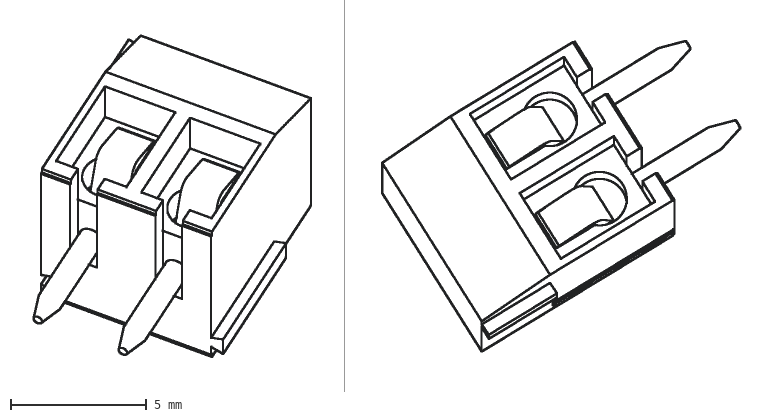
import cadquery as cq
import math


overall_width = 7.98
overall_length = 12.19

body_size = 7.0
body_depth = 8.36
body_half = body_size / 2
slope_length = 2.96
slope_drop = 1.0
lip_height = 0.2
lip_depth = 0.07

pole_pitch = 3.5
pole_centres = (-pole_pitch / 2, pole_pitch / 2)

pocket_width = 2.89
pocket_length = 4.08
pocket_depth = 1.71
front_wall = 0.66
pocket_floor = body_size - pocket_depth
slot_width = 1.1
slot_bottom = 2.72

well_diameter = 2.01
well_centre_y = 2.17
well_depth = 1.38
well_bottom = pocket_floor - well_depth

clamp_width = 1.5
clamp_back_y = 4.5
clamp_bend_radius = 0.46
back_bend_facets = 2
front_bend_facets = 5
clamp_back_angle = math.radians(51)
clamp_ramp_angle = math.radians(13.5)
clamp_plunge_angle = math.radians(-71)
clamp_ramp_run = 1.16

pin_diameter = 0.94
pin_tip_diameter = 0.35
pin_length = overall_length - body_depth
pin_tip_length = 1.0
pin_z = 3.41

rail_height = (overall_width - body_size) / 2
rail_neck = 0.51
rail_head = 0.82
upper_rail_z = 5.13
lower_rail_z = 0.89
lower_rail_length = 5.28
groove_depth = 0.5
groove_end_depth = 0.46
groove_end_length = 0.15


def box(width, y_start, y_end, z_start, z_end, x_centre=0):
    """Box centred on x_centre that spans the given Y and Z ranges."""
    length = y_end - y_start
    height = z_end - z_start
    solid = cq.Workplane("XY").box(width, length, height, centered=(True, False, False))
    return solid.translate((x_centre, y_start, z_start))


def dovetail(wall_x, direction, height, z_centre, y_start, y_end):
    """Dovetail bar that widens from a side wall along direction (+1 or -1 in X)."""
    head_x = wall_x + direction * height
    outline = [
        (wall_x, z_centre - rail_neck / 2),
        (head_x, z_centre - rail_head / 2),
        (head_x, z_centre + rail_head / 2),
        (wall_x, z_centre + rail_neck / 2),
    ]
    plane = cq.Workplane("XZ", origin=(0, y_start, 0))
    return plane.polyline(outline).close().extrude(y_start - y_end)


def housing():
    """Housing block with its sloped back and the steps on its front face."""
    outline = [
        (lip_depth, 0),
        (body_depth, 0),
        (body_depth, body_size - slope_drop),
        (body_depth - slope_length, body_size),
        (lip_depth, body_size),
        (lip_depth, body_size - lip_height),
        (0, body_size - lip_height),
        (0, lip_height),
        (lip_depth, lip_height),
    ]
    plane = cq.Workplane("YZ", origin=(-body_half, 0, 0))
    return plane.polyline(outline).close().extrude(body_size)


def pole_cavity(x):
    """Pocket, front slot and round well of one pole."""
    pocket_back = front_wall + pocket_length
    pocket = box(pocket_width, front_wall, pocket_back, pocket_floor, body_size, x)
    slot = box(slot_width, 0, front_wall, slot_bottom, body_size, x)
    well = cq.Workplane("XY", origin=(x, well_centre_y, well_bottom))
    well = well.circle(well_diameter / 2).extrude(well_depth)
    return pocket.union(slot).union(well)


def bend(start, start_angle, end_angle, facets):
    """End points of the equal flat facets of a convex bend running toward -Y."""
    points = []
    for i in range(1, facets + 1):
        angle = start_angle + (end_angle - start_angle) * i / facets
        run = clamp_bend_radius * (math.sin(start_angle) - math.sin(angle))
        rise = clamp_bend_radius * (math.cos(angle) - math.cos(start_angle))
        points.append((start[0] - run, start[1] + rise))
    return points


def clamp(x):
    """Clamp tongue, solid down to the bottom of the well."""
    back = (clamp_back_y, pocket_floor)
    back_bend = bend(back, clamp_back_angle, clamp_ramp_angle, back_bend_facets)
    ramp_start_y, ramp_start_z = back_bend[-1]
    ramp_rise = clamp_ramp_run * math.tan(clamp_ramp_angle)
    ramp_end = (ramp_start_y - clamp_ramp_run, ramp_start_z + ramp_rise)
    front_bend = bend(ramp_end, clamp_ramp_angle, clamp_plunge_angle, front_bend_facets)
    plunge_start_y, plunge_start_z = front_bend[-1]
    plunge_run = (plunge_start_z - well_bottom) / math.tan(-clamp_plunge_angle)
    plunge_end = (plunge_start_y - plunge_run, well_bottom)
    profile = [back, *back_bend, ramp_end, *front_bend, plunge_end, (clamp_back_y, well_bottom)]
    plane = cq.Workplane("YZ", origin=(x - clamp_width / 2, 0, 0))
    return plane.polyline(profile).close().extrude(clamp_width)


def pin(x):
    """Round pin with a tapered tip, starting at the back of the front slot."""
    outline = [
        (0, front_wall),
        (pin_diameter / 2, front_wall),
        (pin_diameter / 2, pin_tip_length - pin_length),
        (pin_tip_diameter / 2, -pin_length),
        (0, -pin_length),
    ]
    turned = cq.Workplane("XY").polyline(outline).close().revolve(360, (0, 0, 0), (0, 1, 0))
    return turned.translate((x, 0, pin_z))


def side_groove():
    """Dovetail groove, open at the front, in the -X side of the housing."""
    end_start = lower_rail_length - groove_end_length
    main = dovetail(-body_half, 1, groove_depth, lower_rail_z, 0, end_start)
    end = dovetail(-body_half, 1, groove_end_depth, lower_rail_z, end_start, lower_rail_length)
    return main.union(end)


upper_rail_start = body_depth - slope_length
upper_rail = dovetail(-body_half, -1, rail_height, upper_rail_z, upper_rail_start, body_depth)
lower_rail = dovetail(body_half, 1, rail_height, lower_rail_z, 0, lower_rail_length)

result = housing().cut(side_groove()).union(upper_rail).union(lower_rail)
for pole_x in pole_centres:
    result = result.cut(pole_cavity(pole_x)).union(clamp(pole_x)).union(pin(pole_x))